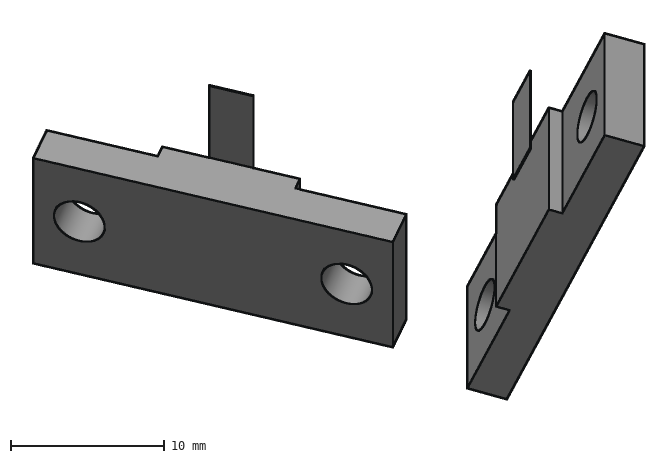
import cadquery as cq

plate_width = 24.77
plate_depth = 2.77
plate_height = 9.54

hole_diameter = 3.5
hole_spacing = 18.4

block_width = 9.49
block_depth = 0.95

total_height = 16.03
total_depth = 3.8
tab_width = 3.05
tab_overlap = 0.75
tab_thickness = total_depth - plate_depth - block_depth
tab_length = total_height - plate_height + tab_overlap


def box_on_base(width, depth, height, front_y, base_z):
    """Box centred on X, with its front face at front_y and its underside at base_z."""
    return (
        cq.Workplane("XY")
        .box(width, depth, height, centered=(True, False, False))
        .translate((0, front_y, base_z))
    )


plate = box_on_base(plate_width, plate_depth, plate_height, 0, 0)
block = box_on_base(block_width, block_depth, plate_height, plate_depth, 0)
tab = box_on_base(
    tab_width,
    tab_thickness,
    tab_length,
    plate_depth + block_depth,
    plate_height - tab_overlap,
)

holes = (
    cq.Workplane("XZ", origin=(0, 0, plate_height / 2))
    .pushPoints([(-hole_spacing / 2, 0), (hole_spacing / 2, 0)])
    .circle(hole_diameter / 2)
    .extrude(-plate_depth)
)

result = plate.cut(holes).union(block).union(tab)